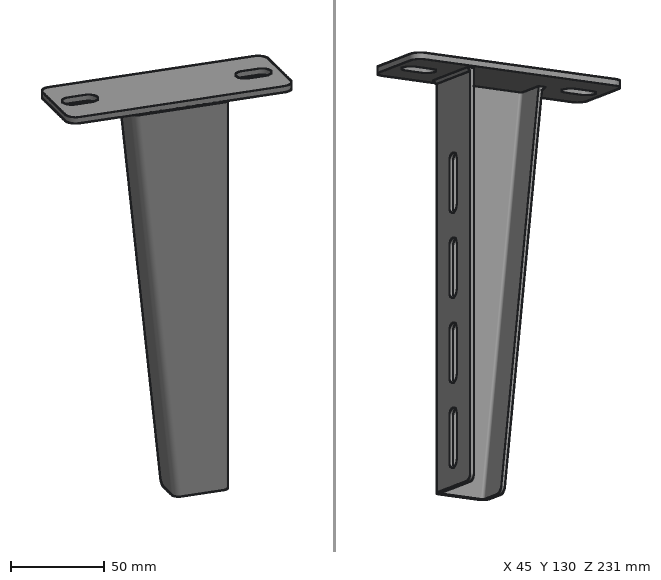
import cadquery as cq

PLATE_WIDTH = 45.0
PLATE_LENGTH = 130.0
PLATE_THICKNESS = 3.7
PLATE_CORNER_RADIUS = 6.0
PLATE_SLOT_LENGTH = 20.0
PLATE_SLOT_WIDTH = 10.5
PLATE_SLOT_SPACING = 100.0

TOTAL_HEIGHT = 231.0
SHEET_THICKNESS = 2.3
BEND_INNER_RADIUS = 1.6
BEND_OUTER_RADIUS = BEND_INNER_RADIUS + SHEET_THICKNESS
BACK_FLANGE_EDGE_X = -18.5
FRONT_FLANGE_EDGE_X = -0.5
WEB_X = 19.6
BACK_Y = 28.9
FRONT_TOP_Y = -27.0
FRONT_BOTTOM_Y = -3.2
FLANGE_CORNER_RADIUS = 4.0

FLANGE_SLOT_COUNT = 4
FLANGE_SLOT_LENGTH = 33.0
FLANGE_SLOT_WIDTH = 7.9
FLANGE_SLOT_PITCH = 47.0
FLANGE_SLOT_X = -0.5
FIRST_SLOT_DEPTH = 63.5

WELD_LEG = 1.8

CHANNEL_TOP_Z = -PLATE_THICKNESS
CHANNEL_BOTTOM_Z = -TOTAL_HEIGHT
CHANNEL_DEPTH = WEB_X - BACK_FLANGE_EDGE_X


def make_plate():
    plate = cq.Workplane("XY").box(PLATE_WIDTH, PLATE_LENGTH, PLATE_THICKNESS, centered=(True, True, False))
    plate = plate.translate((0, 0, -PLATE_THICKNESS)).edges("|Z").fillet(PLATE_CORNER_RADIUS)
    slots = (
        cq.Workplane("XY")
        .pushPoints([(0, -PLATE_SLOT_SPACING / 2), (0, PLATE_SLOT_SPACING / 2)])
        .slot2D(PLATE_SLOT_LENGTH, PLATE_SLOT_WIDTH, 90)
        .extrude(-PLATE_THICKNESS)
    )
    return plate.cut(slots)


def tapered_block(inset, bend_radius):
    """Wedge-shaped block inset from the channel's outer faces, with rounded bends on its +X side."""
    back = BACK_Y - inset
    outline = [
        (back, CHANNEL_TOP_Z),
        (FRONT_TOP_Y + inset, CHANNEL_TOP_Z),
        (FRONT_BOTTOM_Y + inset, CHANNEL_BOTTOM_Z),
        (back, CHANNEL_BOTTOM_Z),
    ]
    block = (
        cq.Workplane("YZ", origin=(BACK_FLANGE_EDGE_X, 0, 0))
        .polyline(outline)
        .close()
        .extrude(CHANNEL_DEPTH - inset)
    )
    return block.faces(">X").edges("not #Z").fillet(bend_radius)


def trim_front_flange(body):
    """Cut the front flange back to its narrower width."""
    trim_width = FRONT_FLANGE_EDGE_X - BACK_FLANGE_EDGE_X
    front_space = cq.Workplane("XY").box(
        trim_width, BACK_Y - SHEET_THICKNESS - FRONT_TOP_Y + WELD_LEG, TOTAL_HEIGHT - PLATE_THICKNESS,
        centered=False,
    )
    return body.cut(front_space.translate((BACK_FLANGE_EDGE_X, FRONT_TOP_Y - WELD_LEG, CHANNEL_BOTTOM_Z)))


def make_weld():
    """Outward 45 degree weld bead under the plate around the back flange, web and front flange."""
    length = BACK_Y - FRONT_TOP_Y
    bead = (
        cq.Workplane("XY", origin=(0, (BACK_Y + FRONT_TOP_Y) / 2, CHANNEL_TOP_Z))
        .center((BACK_FLANGE_EDGE_X + WEB_X) / 2, 0)
        .sketch()
        .rect(CHANNEL_DEPTH + 2 * WELD_LEG, length + 2 * WELD_LEG)
        .vertices()
        .fillet(BEND_OUTER_RADIUS + WELD_LEG)
        .finalize()
        .extrude(-WELD_LEG, taper=45)
    )
    straight = (
        cq.Workplane("YZ", origin=(BACK_FLANGE_EDGE_X, 0, 0))
        .polyline([
            (BACK_Y + WELD_LEG, CHANNEL_TOP_Z),
            (FRONT_TOP_Y - WELD_LEG, CHANNEL_TOP_Z),
            (FRONT_TOP_Y, CHANNEL_TOP_Z - WELD_LEG),
            (BACK_Y, CHANNEL_TOP_Z - WELD_LEG),
        ])
        .close()
        .extrude(CHANNEL_DEPTH / 2)
    )
    open_side = cq.Workplane("XY").box(
        2 * WELD_LEG, length + 4 * WELD_LEG, 4 * WELD_LEG,
    ).translate((BACK_FLANGE_EDGE_X - WELD_LEG, (BACK_Y + FRONT_TOP_Y) / 2, CHANNEL_TOP_Z))
    return bead.union(straight).cut(open_side)


def make_flange_slots():
    centres = [
        (FLANGE_SLOT_X, -FIRST_SLOT_DEPTH - i * FLANGE_SLOT_PITCH)
        for i in range(FLANGE_SLOT_COUNT)
    ]
    return (
        cq.Workplane("XZ", origin=(0, BACK_Y, 0))
        .pushPoints(centres)
        .slot2D(FLANGE_SLOT_LENGTH, FLANGE_SLOT_WIDTH, 90)
        .extrude(SHEET_THICKNESS)
    )


def make_channel():
    channel = tapered_block(0, BEND_OUTER_RADIUS).union(make_weld())
    channel = channel.cut(tapered_block(SHEET_THICKNESS, BEND_INNER_RADIUS))
    channel = trim_front_flange(channel)
    back_corner = cq.selectors.NearestToPointSelector((BACK_FLANGE_EDGE_X, BACK_Y, CHANNEL_BOTTOM_Z))
    front_corner = cq.selectors.NearestToPointSelector((FRONT_FLANGE_EDGE_X, FRONT_BOTTOM_Y, CHANNEL_BOTTOM_Z))
    channel = channel.edges("|Y").edges(back_corner).fillet(FLANGE_CORNER_RADIUS)
    channel = channel.edges("|Y").edges(front_corner).fillet(FLANGE_CORNER_RADIUS)
    return channel.cut(make_flange_slots())


result = make_plate().union(make_channel())